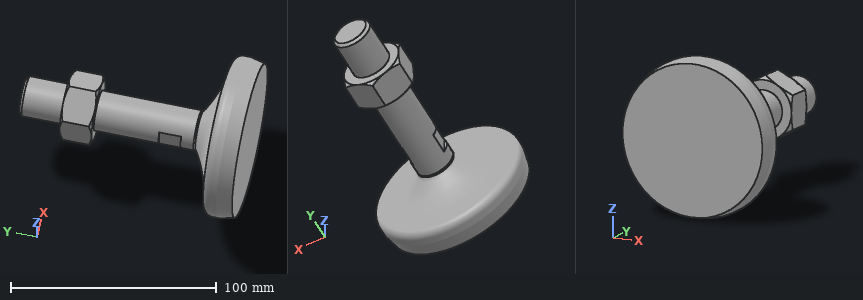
import cadquery as cq
import math

total_length = 113.0

pad_diameter = 80.0
sole_diameter = 76.6
sole_taper_height = 7.5
rim_top = 10.8
shoulder_radius = 4.1
shoulder_top = rim_top + shoulder_radius
collar_base = 24.0
pad_top = 25.0
collar_base_radius = 11.2
collar_top_radius = 10.1
flare_mid_radius = 22.4
flare_mid_height = 18.5

stud_diameter = 20.0
stud_start = 25.9
stud_chamfer = 1.5
neck_diameter = 10.0

flats_width = 17.0
flats_start = 32.3
flats_length = 11.0

nut_across_flats = 30.1
nut_start = 75.5
nut_height = 15.9
nut_chamfer_angle = 30.0


def rod(diameter, start, end):
    """Cylinder along Y between two heights."""
    plane = cq.Workplane("XZ", origin=(0, start, 0))
    return plane.circle(diameter / 2).extrude(start - end)


def make_pad():
    pad_radius = pad_diameter / 2
    shoulder_center = pad_radius - shoulder_radius
    shoulder_offset = shoulder_radius * math.sqrt(0.5)
    profile = (
        cq.Workplane("XY")
        .lineTo(sole_diameter / 2, 0)
        .lineTo(pad_radius, sole_taper_height)
        .lineTo(pad_radius, rim_top)
        .threePointArc(
            (shoulder_center + shoulder_offset, rim_top + shoulder_offset),
            (shoulder_center, shoulder_top),
        )
        .threePointArc(
            (flare_mid_radius, flare_mid_height),
            (collar_base_radius, collar_base),
        )
        .lineTo(collar_top_radius, pad_top)
        .lineTo(0, pad_top)
        .close()
    )
    return profile.revolve(360, (0, 0), (0, 1))


def make_stud():
    stud = rod(stud_diameter, stud_start, total_length)
    stud = stud.faces(">Y").chamfer(stud_chamfer)
    cutter_depth = stud_diameter / 2
    for side in (-1, 1):
        cutter = cq.Workplane("XY").box(cutter_depth, flats_length, stud_diameter).translate(
            (side * (flats_width + cutter_depth) / 2, flats_start + flats_length / 2, 0)
        )
        stud = stud.cut(cutter)
    return stud


def make_nut():
    corner_radius = nut_across_flats / math.sqrt(3)
    face_radius = nut_across_flats / 2
    chamfer_height = (corner_radius - face_radius) * math.tan(math.radians(nut_chamfer_angle))
    nut_end = nut_start + nut_height
    hexagon = (
        cq.Workplane("XZ", origin=(0, nut_start, 0))
        .transformed(rotate=(0, 0, 90))
        .polygon(6, 2 * corner_radius)
        .extrude(-nut_height)
    )
    envelope = (
        cq.Workplane("XY")
        .moveTo(0, nut_start)
        .lineTo(face_radius, nut_start)
        .lineTo(corner_radius, nut_start + chamfer_height)
        .lineTo(corner_radius, nut_end - chamfer_height)
        .lineTo(face_radius, nut_end)
        .lineTo(0, nut_end)
        .close()
        .revolve(360, (0, 0), (0, 1))
    )
    return hexagon.intersect(envelope)


neck = rod(neck_diameter, pad_top, stud_start)
result = make_pad().union(neck).union(make_stud()).union(make_nut())